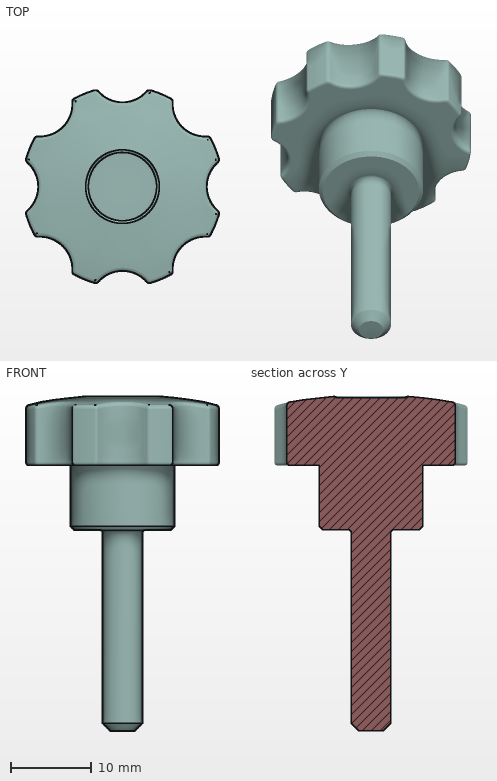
import cadquery as cq
import math

total_height = 41.65
shank_length = 25.0
hub_height = 8.05
head_base = shank_length + hub_height

shank_diameter = 5.0
tip_chamfer = 1.0
hub_diameter = 13.0
hub_chamfer = 0.5
root_fillet = 0.3

head_radius = 12.5
dome_radius = 58.32
lobe_count = 8
scallop_radius = 4.0
scallop_centre_distance = 14.5
head_edge_radius = 0.5
head_base_edge_radius = 0.4

recess_rim_radius = 4.6
recess_floor_radius = 4.25
recess_depth = 0.15


def make_dome_blank():
    """Turned disc with a spherical top that reaches the total height at the recess rim."""
    sphere_centre = total_height - math.sqrt(dome_radius**2 - recess_rim_radius**2)
    apex = sphere_centre + dome_radius
    rim = sphere_centre + math.sqrt(dome_radius**2 - head_radius**2)
    half_radius = head_radius / 2
    middle = sphere_centre + math.sqrt(dome_radius**2 - half_radius**2)
    return (
        cq.Workplane("XZ")
        .moveTo(0, head_base)
        .lineTo(head_radius, head_base)
        .lineTo(head_radius, rim)
        .threePointArc((half_radius, middle), (0, apex))
        .close()
        .revolve(360, (0, 0), (0, 1))
    )


def make_head():
    """Dome blank with finger scallops and every outer edge rounded."""
    scallops = (
        cq.Workplane("XY", origin=(0, 0, head_base))
        .polarArray(scallop_centre_distance, 0, 360, lobe_count)
        .circle(scallop_radius)
        .extrude(total_height - head_base)
    )
    head = make_dome_blank().cut(scallops)
    head = head.edges("|Z").fillet(head_edge_radius)
    head = head.faces(">Z").edges().fillet(head_edge_radius)
    return head.faces("<Z").edges().fillet(head_base_edge_radius)


def make_recess():
    """Conical cutter that opens at the recess rim and runs clear above the crown."""
    slope = (recess_rim_radius - recess_floor_radius) / recess_depth
    floor = total_height - recess_depth
    clear_height = 2 * recess_depth
    top_radius = recess_rim_radius + slope * clear_height
    return (
        cq.Workplane("XZ")
        .moveTo(0, floor)
        .lineTo(recess_floor_radius, floor)
        .lineTo(top_radius, total_height + clear_height)
        .lineTo(0, total_height + clear_height)
        .close()
        .revolve(360, (0, 0), (0, 1))
    )


def make_hub():
    """Round hub that runs up into the head, with a chamfered lower edge."""
    overlap = (total_height - head_base) / 2
    return (
        cq.Workplane("XY", origin=(0, 0, shank_length))
        .circle(hub_diameter / 2)
        .extrude(hub_height + overlap)
        .faces("<Z")
        .edges()
        .chamfer(hub_chamfer)
    )


def make_shank():
    """Plain pin with a chamfered tip and a concave fillet where it meets the hub."""
    radius = shank_diameter / 2
    inside_hub = shank_length + hub_height / 2
    mid_arc = root_fillet * (1 - math.sqrt(0.5))
    return (
        cq.Workplane("XZ")
        .lineTo(radius - tip_chamfer, 0)
        .lineTo(radius, tip_chamfer)
        .lineTo(radius, shank_length - root_fillet)
        .threePointArc(
            (radius + mid_arc, shank_length - mid_arc),
            (radius + root_fillet, shank_length),
        )
        .lineTo(radius + root_fillet, inside_hub)
        .lineTo(0, inside_hub)
        .close()
        .revolve(360, (0, 0), (0, 1))
    )


result = make_head().cut(make_recess()).union(make_hub()).union(make_shank())